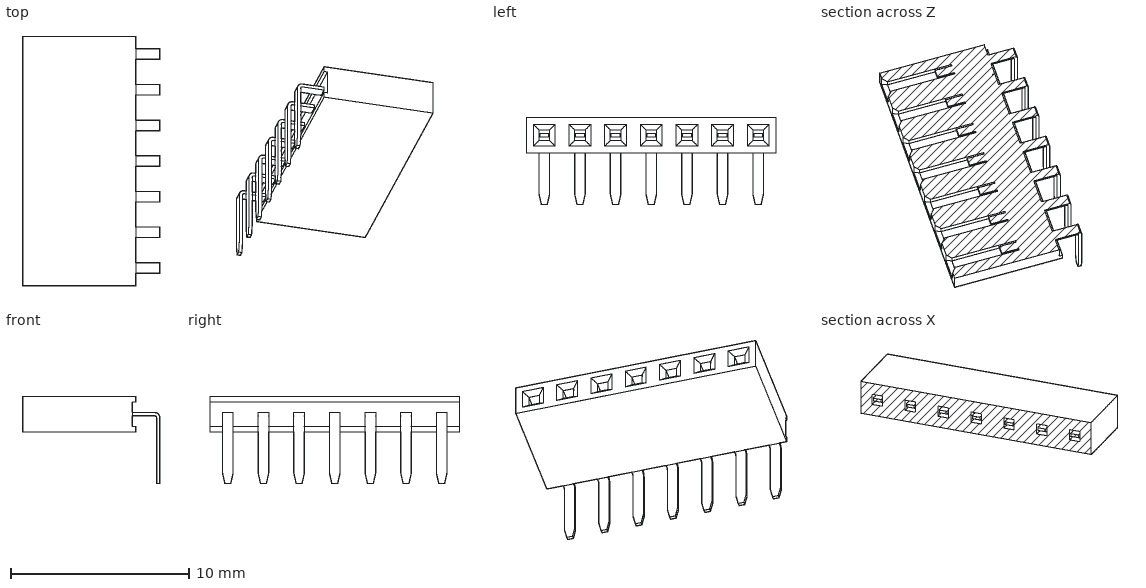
import cadquery as cq

total_length = 7.71
total_width = 14.0
total_height = 4.9
pin_count = 7

pitch = total_width / pin_count
housing_length = 6.35
housing_height = 2.0
lip_depth = 0.2
lip_thickness = 0.32

funnel_mouth = 1.22
funnel_depth = 0.25
socket_side = 0.6
socket_depth = 4.0

pin_thickness = 0.2
pin_width = 0.6
bend_outer_radius = 0.3
bend_inner_radius = bend_outer_radius - pin_thickness
tip_width = 0.34
tip_length = 0.59
contact_width = 0.49
contact_length = 1.0

axis_z = housing_height / 2
pin_top_z = axis_z + pin_thickness / 2
pin_end_z = housing_height - total_height
groove_floor_x = housing_length - lip_depth
pin_root_x = socket_depth
pin_y_places = [(i - (pin_count - 1) / 2) * pitch for i in range(pin_count)]


def make_housing():
    """Rectangular block with a full-width groove along its back face."""
    block = cq.Workplane("XY").box(
        housing_length, total_width, housing_height, centered=(False, True, False)
    )
    groove = (
        cq.Workplane("XY")
        .box(lip_depth, total_width, housing_height - 2 * lip_thickness, centered=(False, True, True))
        .translate((groove_floor_x, 0, axis_z))
    )
    return block.cut(groove)


def make_socket(y):
    """Square blind hole with a tapered lead-in at the mating face."""
    mating_face = cq.Workplane("YZ", origin=(0, y, axis_z))
    funnel = (
        mating_face.rect(funnel_mouth, funnel_mouth)
        .workplane(offset=funnel_depth)
        .rect(socket_side, socket_side)
        .loft(ruled=True)
    )
    hole = mating_face.rect(socket_side, socket_side).extrude(socket_depth)
    return funnel.union(hole)


def make_pin(y):
    """Flat strip bent down behind the housing, with a tapered tip and a narrow contact."""
    run_length = total_length - pin_root_x
    drop_height = pin_top_z - pin_end_z
    strip = (
        cq.Workplane("XZ", origin=(0, y, 0))
        .moveTo(pin_root_x, pin_top_z)
        .hLine(run_length - bend_outer_radius)
        .radiusArc((total_length, pin_top_z - bend_outer_radius), bend_outer_radius)
        .vLine(bend_outer_radius - drop_height)
        .hLine(-pin_thickness)
        .vLine(drop_height - bend_outer_radius)
        .radiusArc((total_length - bend_outer_radius, pin_top_z - pin_thickness), -bend_inner_radius)
        .hLineTo(pin_root_x)
        .close()
        .extrude(pin_width / 2, both=True)
    )
    front_outline = (
        cq.Workplane("YZ", origin=(0, y, 0))
        .moveTo(-tip_width / 2, pin_end_z)
        .lineTo(-pin_width / 2, pin_end_z + tip_length)
        .vLineTo(pin_top_z)
        .hLine(pin_width)
        .vLineTo(pin_end_z + tip_length)
        .lineTo(tip_width / 2, pin_end_z)
        .close()
        .extrude(total_length)
    )
    contact = (
        cq.Workplane("XY")
        .box(contact_length, contact_width, pin_thickness, centered=(False, True, True))
        .translate((socket_depth - contact_length, y, axis_z))
    )
    return strip.intersect(front_outline).union(contact)


result = make_housing()
for pin_y in pin_y_places:
    result = result.cut(make_socket(pin_y)).union(make_pin(pin_y))